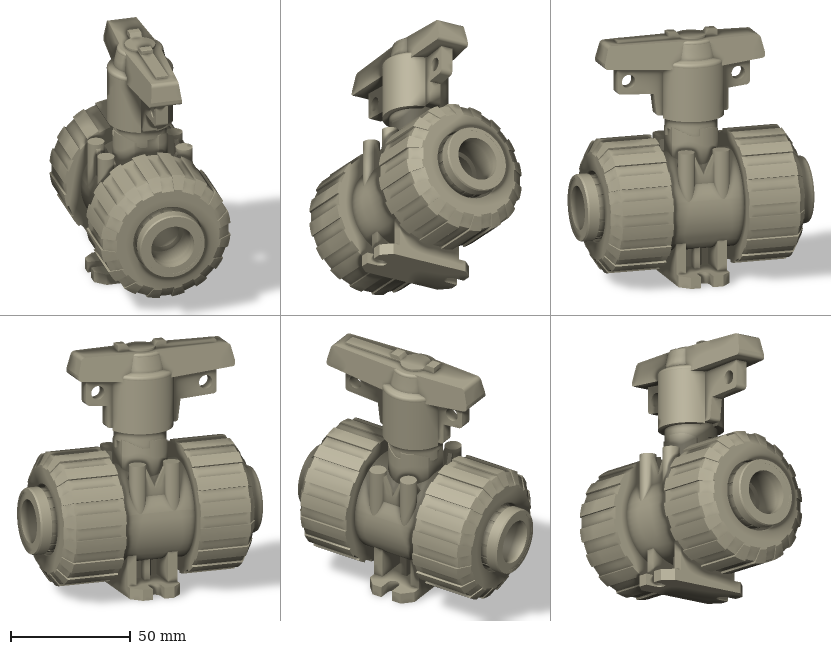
import cadquery as cq
import math


overall_length = 99.5
top_z = 73.17
base_z = -33.0

body_radius = 21.0
body_half_length = 33.0
bore_radius = 7.2
side_half_width = 11.15

nut_inner_x = 16.6
nut_outer_x = 42.65
nut_tip_length = 3.6
nut_lip = 3.65
tooth_count = 16
tooth_radius = 28.27
tooth_tip_radius = 23.05
groove_radius = 27.3
groove_tip_radius = 22.3
groove_width = 5.3
nut_hole_radius = 14.9
nut_hole_chamfer = 0.36

collar_radius = 14.2
collar_length = 5.05
collar_chamfer_radial = 0.35
collar_chamfer_axial = 0.8
neck_radius = 13.5
notch_count = 16
notch_width = 1.4
notch_depth = 0.3
socket_radius = 9.33
socket_depth = 16.0
face_recess_radius = 12.45
face_recess_depth = 0.1

tower_radius = 11.5
tower_flat = 10.15
tower_top_z = 32.85
tower_low_z = 29.76
stem_radius = 11.1
stem_top_z = 48.3
stem_step_z = 31.8
stem_low_z = 28.3
cam_low_length = 2.7
tower_ramp_length = 6.95
cam_slope = (tower_top_z - tower_low_z) / tower_ramp_length
cam_inner = 5.0
quarter_turns = (0, 90, 180, 270)

post_radius = 3.55
post_x = side_half_width - post_radius
post_y = 17.0
post_top_z = 24.85
web_thickness = 1.8
vee_bottom_z = 14.4
vee_slope = 2.1
gusset_angle = 14.0
gusset_foot = 6.1
gusset_foot_z = 17.6

foot_half_y = 22.0
foot_top_z = -28.2
foot_corner_x = 4.1
foot_corner_y = 4.35
foot_slot_width = 5.3
foot_slot_depth = 7.5
leg_thickness = 4.15
leg_half_y = 14.5
pillar_radius = 4.5
rib_thickness = 2.5
rib_half_y = 8.6

hub_radius = 13.9
hub_bottom_z = 36.7
hub_shoulder_z = 59.9
hub_slot_width = 6.7
slot_top_z = 60.4
bar_top_z = 70.35
bar_low_z = 58.8
bar_end_z = 60.5
bar_lean_z = 62.9
bar_sag_half_length = 10.5
bar_left_x = -30.2
bar_right_x = 39.95
bar_left_half_y = 7.5
bar_mid_half_y = 9.55
bar_right_half_y = 7.15
bar_draft = 7.8
bar_end_lean = 1.9
bar_top_fillet = 1.9
bar_bottom_fillet = 1.2

insert_thickness = 5.4
insert_left_x = -25.1
insert_right_x = 33.25
insert_top_z = 71.4
disc_radius = 6.4
tab_width = 5.0
lock_hole_radius = 2.9
lock_hole_z = 53.55
lock_hole_xs = (-19.9, 28.3)


def revolve_about_x(points):
    """Solid of revolution about X from (x, radius) points."""
    return cq.Workplane("XY").polyline(points).close().revolve(360, (0, 0, 0), (1, 0, 0))


def z_cylinder(radius, low_z, high_z):
    return cq.Workplane("XY").workplane(offset=low_z).circle(radius).extrude(high_z - low_z)


def block(x_range, y_range, z_range):
    """Box given by its lower and upper limit along each axis."""
    size = [high - low for low, high in (x_range, y_range, z_range)]
    corner = (x_range[0], y_range[0], z_range[0])
    return cq.Workplane("XY").box(*size, centered=False).translate(corner)


def y_slab(points, y_low, y_high):
    """Outline of (x, z) points extruded from y_low to y_high."""
    outline = cq.Workplane("XZ", origin=(0, y_high, 0)).polyline(points).close()
    return outline.extrude(y_high - y_low)


def make_stem():
    """Round stem whose lower rim carries one cam tooth in each quarter turn."""
    stem = z_cylinder(stem_radius, stem_step_z, stem_top_z)
    ramp_length = (stem_step_z - stem_low_z) / cam_slope
    outline = [
        (0, stem_step_z),
        (0, stem_low_z),
        (-cam_low_length, stem_low_z),
        (-cam_low_length - ramp_length, stem_step_z),
    ]
    slab = y_slab(outline, -stem_radius, -cam_inner)
    tooth = slab.intersect(z_cylinder(stem_radius, stem_low_z, stem_step_z))
    for angle in quarter_turns:
        stem = stem.union(tooth.rotate((0, 0, 0), (0, 0, 1), angle))
    return stem


def make_tower():
    """Flatted tower with a ramped cam cut into its rim in each quarter turn."""
    tower = z_cylinder(tower_radius, 0, tower_top_z)
    tower = tower.intersect(
        block((-tower_flat, tower_flat), (-tower_radius, tower_radius), (0, tower_top_z))
    )
    outline = [
        (0, tower_top_z),
        (0, tower_low_z),
        (-cam_low_length, tower_low_z),
        (-cam_low_length - tower_ramp_length, tower_top_z),
    ]
    cam = y_slab(outline, -tower_radius, -cam_inner)
    for angle in quarter_turns:
        tower = tower.cut(cam.rotate((0, 0, 0), (0, 0, 1), angle))
    return tower


def make_gusset():
    """Sloping gusset on the +X, +Y post that falls towards the tower."""
    rise = (gusset_foot - post_radius) * vee_slope
    outline = [
        (0, 0),
        (gusset_foot, 0),
        (gusset_foot, gusset_foot_z),
        (post_radius, gusset_foot_z + rise),
        (0, gusset_foot_z + rise),
    ]
    gusset = y_slab(outline, -web_thickness / 2, web_thickness / 2)
    gusset = gusset.rotate((0, 0, 0), (0, 0, 1), gusset_angle - 90)
    return gusset.translate((post_x, post_y, 0))


def make_posts():
    """Two pairs of posts; a vee-notched web joins the posts of each pair."""
    vee_half_width = (post_top_z - vee_bottom_z) / vee_slope
    web_outline = [
        (-post_x, 0),
        (post_x, 0),
        (post_x, post_top_z),
        (vee_half_width, post_top_z),
        (0, vee_bottom_z),
        (-vee_half_width, post_top_z),
        (-post_x, post_top_z),
    ]
    web = y_slab(web_outline, post_y - web_thickness / 2, post_y + web_thickness / 2)
    post = z_cylinder(post_radius, 0, post_top_z).translate((post_x, post_y, 0))
    post = post.union(make_gusset())
    pair = web.union(post).union(post.mirror("YZ"))
    return pair.union(pair.mirror("XZ"))


def make_foot():
    """Slotted mounting plate on two legs, with a round pillar and cross ribs between them."""
    plate = block(
        (-side_half_width, side_half_width), (-foot_half_y, foot_half_y), (base_z, foot_top_z)
    )
    corner = (
        cq.Workplane("XY", origin=(side_half_width, foot_half_y, base_z))
        .polyline([(0, 0), (-foot_corner_x, 0), (0, -foot_corner_y)])
        .close()
        .extrude(foot_top_z - base_z)
    )
    slot_radius = foot_slot_width / 2
    slot_center_y = foot_half_y - foot_slot_depth + slot_radius
    slot = block((-slot_radius, slot_radius), (slot_center_y, foot_half_y), (base_z, foot_top_z))
    slot = slot.union(z_cylinder(slot_radius, base_z, foot_top_z).translate((0, slot_center_y, 0)))
    end_cuts = slot.union(corner).union(corner.mirror("YZ"))
    plate = plate.cut(end_cuts).cut(end_cuts.mirror("XZ"))

    height = (foot_top_z, 0)
    leg = block((side_half_width - leg_thickness, side_half_width), (-leg_half_y, leg_half_y), height)
    half_rib = rib_thickness / 2
    foot = plate.union(leg).union(leg.mirror("YZ"))
    foot = foot.union(z_cylinder(pillar_radius, *height))
    foot = foot.union(block((-half_rib, half_rib), (-rib_half_y, rib_half_y), height))
    return foot.union(block((-side_half_width, side_half_width), (-half_rib, half_rib), height))


def make_housing(stem):
    barrel = cq.Workplane("YZ").circle(body_radius).extrude(body_half_length, both=True)
    bore = cq.Workplane("YZ").circle(bore_radius).extrude(body_half_length, both=True)
    housing = barrel.union(make_tower()).union(make_posts()).union(make_foot())
    return housing.cut(bore).cut(stem)


def nut_blank(radius, tip_radius):
    """Plain nut with a conical tip."""
    return revolve_about_x([
        (nut_inner_x, 0),
        (nut_inner_x, radius),
        (nut_outer_x - nut_tip_length, radius),
        (nut_outer_x, tip_radius),
        (nut_outer_x, 0),
    ])


def make_nut():
    """Nut with parallel-sided grip grooves, a plain bore over the barrel and a retaining lip."""
    teeth = nut_blank(tooth_radius, tooth_tip_radius)
    half_groove = groove_width / 2
    groove = block(
        (nut_inner_x, nut_outer_x), (-half_groove, half_groove), (-tooth_radius, tooth_radius)
    )
    pitch = 360 / tooth_count
    for index in range(tooth_count // 2):
        teeth = teeth.cut(groove.rotate((0, 0, 0), (1, 0, 0), index * pitch))
    nut = teeth.union(nut_blank(groove_radius, groove_tip_radius))
    lip_x = nut_outer_x - nut_lip
    cavity = revolve_about_x([
        (nut_inner_x, 0),
        (nut_inner_x, body_radius),
        (lip_x, body_radius),
        (lip_x, nut_hole_radius),
        (nut_outer_x - nut_hole_chamfer, nut_hole_radius),
        (nut_outer_x, nut_hole_radius + nut_hole_chamfer),
        (nut_outer_x, 0),
    ])
    return nut.cut(cavity)


def make_connector():
    """Flanged socket; its neck carries narrow lengthwise notches."""
    end_x = overall_length / 2
    collar_x = end_x - collar_length
    flange_x = nut_outer_x - nut_lip
    socket_x = end_x - socket_depth
    recess_x = end_x - face_recess_depth
    connector = revolve_about_x([
        (body_half_length, bore_radius),
        (body_half_length, body_radius),
        (flange_x, body_radius),
        (flange_x, neck_radius),
        (collar_x, neck_radius),
        (collar_x, collar_radius),
        (end_x - collar_chamfer_axial, collar_radius),
        (end_x, collar_radius - collar_chamfer_radial),
        (end_x, face_recess_radius),
        (recess_x, face_recess_radius),
        (recess_x, socket_radius),
        (socket_x, socket_radius),
        (socket_x, bore_radius),
    ])
    notch = block(
        (flange_x, collar_x),
        (-notch_width / 2, notch_width / 2),
        (neck_radius - notch_depth, collar_radius),
    )
    pitch = 360 / notch_count
    for index in range(notch_count):
        connector = connector.cut(notch.rotate((0, 0, 0), (1, 0, 0), (index + 0.5) * pitch))
    return connector


def make_insert():
    """Upright key plate: two lock holes, two legs astride the stem, a disc and tabs on top."""
    low_left_z = 47.4
    low_right_z = 47.3
    outer_low_z = 48.3
    leg_bottom_z = 37.75
    shelf_z = 62.0
    left_leg_x = -15.65
    right_leg_bottom_x = 15.9
    right_leg_top_x = 17.1
    tab_outer_x = 10.8
    outline = [
        (insert_left_x, shelf_z),
        (insert_left_x, outer_low_z),
        (left_leg_x, low_left_z),
        (left_leg_x, leg_bottom_z),
        (-stem_radius, leg_bottom_z),
        (-stem_radius, stem_top_z),
        (stem_radius, stem_top_z),
        (stem_radius, leg_bottom_z),
        (right_leg_bottom_x, leg_bottom_z),
        (right_leg_top_x, low_right_z),
        (insert_right_x, outer_low_z),
        (insert_right_x, insert_top_z),
        (0, insert_top_z),
        (0, bar_top_z),
        (-tab_outer_x, bar_top_z),
        (-tab_outer_x, shelf_z),
    ]
    half = insert_thickness / 2
    plate = y_slab(outline, -half, half)
    corner_radii = (
        (insert_left_x, outer_low_z, 1.8),
        (insert_right_x, outer_low_z, 1.4),
        (left_leg_x, leg_bottom_z, 1.1),
        (right_leg_bottom_x, leg_bottom_z, 1.1),
    )
    for x, z, radius in corner_radii:
        corner = cq.selectors.NearestToPointSelector((x, 0, z))
        plate = plate.edges("|Y").edges(corner).fillet(radius)
    holes = (
        cq.Workplane("XZ")
        .pushPoints([(x, lock_hole_z) for x in lock_hole_xs])
        .circle(lock_hole_radius)
        .extrude(insert_thickness, both=True)
    )
    bevel = 0.75
    bevel_drop = 0.1
    tab_inner_x = 7.6
    tab = y_slab(
        [
            (tab_outer_x, bar_top_z),
            (tab_outer_x, top_z - bevel_drop),
            (tab_outer_x - bevel, top_z),
            (tab_inner_x, top_z),
            (tab_inner_x - bevel, top_z - bevel_drop),
            (disc_radius - bevel, insert_top_z),
            (disc_radius - bevel, bar_top_z),
        ],
        -tab_width / 2,
        tab_width / 2,
    )
    insert = plate.cut(holes).union(z_cylinder(disc_radius, bar_top_z, insert_top_z))
    return insert.union(tab).union(tab.mirror("YZ"))


def make_hub():
    """Round hub with a rounded shoulder and a rounded cone on top."""
    shoulder = 1.1
    cone_base_radius = 11.2
    cone_base_z = 62.5
    cone_top_radius = 9.75
    cone_top_z = 69.0
    crown_radius = 8.6
    bend = math.sqrt(0.5)
    crown_drop = bar_top_z - cone_top_z
    crown_width = cone_top_radius - crown_radius
    shoulder_rise = 1.8
    return (
        cq.Workplane("XZ")
        .moveTo(0, hub_bottom_z)
        .lineTo(hub_radius, hub_bottom_z)
        .lineTo(hub_radius, hub_shoulder_z)
        .threePointArc(
            (hub_radius - shoulder * (1 - bend), hub_shoulder_z + shoulder_rise * bend),
            (hub_radius - shoulder, hub_shoulder_z + shoulder_rise),
        )
        .lineTo(cone_base_radius, cone_base_z)
        .lineTo(cone_top_radius, cone_top_z)
        .threePointArc(
            (crown_radius + crown_width * bend, cone_top_z + crown_drop * bend),
            (crown_radius, bar_top_z),
        )
        .lineTo(0, bar_top_z)
        .close()
        .revolve(360, (0, 0, 0), (0, 1, 0))
    )


def make_bar():
    """Drafted grip bar, widest at the stem, with leaning rounded ends and a sagging underside."""
    height = bar_top_z - bar_low_z
    draft_inset = height * math.tan(math.radians(bar_draft))
    plan_left_x = bar_left_x - draft_inset
    plan_right_x = bar_right_x + draft_inset
    plan = [
        (plan_left_x, -bar_left_half_y),
        (0, -bar_mid_half_y),
        (plan_right_x, -bar_right_half_y),
        (plan_right_x, bar_right_half_y),
        (0, bar_mid_half_y),
        (plan_left_x, bar_left_half_y),
    ]
    grip = (
        cq.Workplane("XY", origin=(0, 0, bar_low_z))
        .polyline(plan)
        .close()
        .extrude(height, taper=bar_draft)
    )
    side = y_slab(
        [
            (bar_left_x, bar_end_z),
            (-bar_sag_half_length, bar_low_z),
            (bar_sag_half_length, bar_low_z),
            (bar_right_x, bar_end_z),
            (bar_right_x, bar_lean_z),
            (bar_right_x - bar_end_lean, bar_top_z),
            (bar_left_x + bar_end_lean, bar_top_z),
            (bar_left_x, bar_lean_z),
        ],
        -hub_radius,
        hub_radius,
    )
    side = side.edges("|Y").edges(">Z").fillet(bar_top_fillet)
    for end_x in (bar_left_x, bar_right_x):
        corner = cq.selectors.NearestToPointSelector((end_x, 0, bar_end_z))
        side = side.edges("|Y").edges(corner).fillet(bar_bottom_fillet)
    return grip.intersect(side)


def make_handle(stem, insert):
    half_slot = hub_slot_width / 2
    slot = block((-hub_radius, hub_radius), (-half_slot, half_slot), (hub_bottom_z, slot_top_z))
    handle = make_hub().union(make_bar())
    return handle.cut(slot).cut(stem).cut(insert)


stem = make_stem()
housing = make_housing(stem)
nut = make_nut()
nuts = [nut, nut.mirror("YZ")]
connector = make_connector()
connectors = [connector, connector.mirror("YZ")]
insert = make_insert()
handle = make_handle(stem, insert)

result = cq.Compound.makeCompound(
    [
        housing.val(),
        *[body.val() for body in nuts],
        *[body.val() for body in connectors],
        stem.val(),
        insert.val(),
        handle.val(),
    ]
)